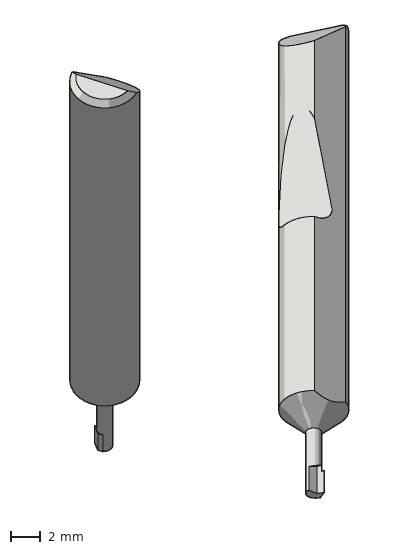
import cadquery as cq
import math

length = 38.1
shank_radius = 2.38
shank_bottom = 6.9
top_chamfer = 0.42

neck_radius = 0.552
neck_top = shank_bottom - (shank_radius - neck_radius)

flat_distance = 2.02
flat_normal_angle = 144.0

bevel_start_y = -0.5

notch_top = 30.1
notch_floor = 21.07
notch_slope_angle = 9.5
notch_radius = 1.05

tooth_reach = 0.75
tooth_height = 1.8
relief_corner_x = -0.25
relief_depth = 0.57
relief_end_x = 0.1
bottom_relief_angle = 5.0

gullet_height = 2.0
gullet_runout = 0.25
gullet_corner_x = -0.23

margin = 1.9


def make_blank():
    """Revolved shank, cone and neck."""
    profile = [
        (0, 0),
        (neck_radius, 0),
        (neck_radius, neck_top),
        (shank_radius, shank_bottom),
        (shank_radius, length - top_chamfer),
        (shank_radius - top_chamfer, length),
        (0, length),
    ]
    return cq.Workplane("XZ").polyline(profile).close().revolve(360, (0, 0), (0, 1))


def make_side_flat():
    """Block whose inner face is the oblique flat."""
    width = 4 * shank_radius
    block = cq.Workplane("XY").box(shank_radius, width, length, centered=(False, True, False))
    return block.translate((flat_distance, 0, 0)).rotate((0, 0, 0), (0, 0, 1), flat_normal_angle)


def extrude_across(profile):
    """Extrude a (y, z) workplane profile across the full shank width."""
    return profile.extrude(shank_radius + margin, both=True)


def make_top_bevel():
    outer_y = shank_radius + margin
    points = [
        (bevel_start_y - margin, length + margin),
        (outer_y, length + margin),
        (outer_y, length - (outer_y - bevel_start_y)),
    ]
    return extrude_across(cq.Workplane("YZ").polyline(points).close())


def make_notch():
    """Sloping notch with a rounded inner corner."""
    slope = math.tan(math.radians(notch_slope_angle))
    outer_y = shank_radius + margin
    inner_y = shank_radius - (notch_top - notch_floor) * slope
    points = [
        (outer_y, notch_floor),
        (inner_y, notch_floor),
        (shank_radius, notch_top),
        (outer_y, notch_top),
    ]
    notch = extrude_across(cq.Workplane("YZ").polyline(points).close())
    return notch.edges("|X").edges("<Y").fillet(notch_radius)


def make_tooth():
    """Tooth with an oblique relief face and a flat back, its cutting face lying on y = 0."""
    points = [
        (-tooth_reach, 0),
        (relief_corner_x, -relief_depth),
        (relief_end_x, -relief_depth),
        (relief_end_x, 0),
    ]
    return cq.Workplane("XY").polyline(points).close().extrude(tooth_height)


def make_gullet():
    """Chip space with a wall parallel to the side flat and a sloping upper end."""
    wall_end_y = 2 * neck_radius
    wall_angle = math.radians(flat_normal_angle - 90)
    wall_end_x = gullet_corner_x + wall_end_y / math.tan(wall_angle)
    outer_x = -tooth_reach - margin
    plan = [(outer_x, 0), (gullet_corner_x, 0), (wall_end_x, wall_end_y), (outer_x, wall_end_y)]
    prism = cq.Workplane("XY").polyline(plan).close().extrude(neck_top)
    side = [
        (0, 0),
        (0, gullet_height + gullet_runout),
        (wall_end_y, gullet_height - gullet_runout),
        (wall_end_y, 0),
    ]
    return prism.intersect(extrude_across(cq.Workplane("YZ").polyline(side).close()))


def make_bottom_relief():
    """Wedge that lifts the end face away from the tooth corner."""
    span = tooth_reach + margin
    rise = span * math.tan(math.radians(bottom_relief_angle))
    points = [(-tooth_reach, 0), (margin, rise), (margin, 0)]
    return cq.Workplane("XZ").polyline(points).close().extrude(margin, both=True)


shank = make_blank().cut(make_side_flat()).cut(make_top_bevel()).cut(make_notch())
result = shank.cut(make_gullet()).union(make_tooth()).cut(make_bottom_relief())